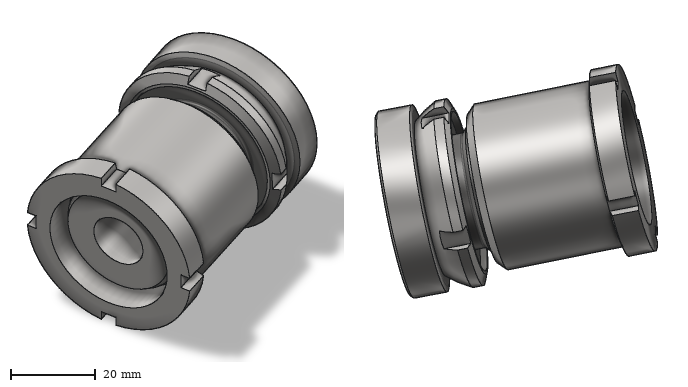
import cadquery as cq
import math


outer_radius = 22.5
barrel_radius = 20.0
thread_radius = 15.0
bore_radius = 6.75
rim_slope = math.tan(math.radians(15))
rim_chamfer = (outer_radius - barrel_radius) * rim_slope

flange_length = 7.0
housing_length = 37.1
barrel_chamfer = 2.0
recess_radius = 16.2
recess_depth = 9.0
housing_slot_width = 4.0
housing_slot_floor = barrel_radius

spindle_start = 4.5
thread_chamfer = 1.05
lead_in_length = 1.8
neck_radius = 13.8
thread_end = 39.1
neck_fillet = 0.65
head_start = 40.55
head_chamfer = 1.05
rim_end = 44.0
head_recess_radius = 19.25
head_recess_depth = 1.65
spindle_slot_width = 4.95
spindle_slot_floor = 20.5
spindle_turn = -1.3

sphere_radius = 24.95
sphere_centre = rim_end - math.sqrt(sphere_radius**2 - outer_radius**2)

cap_start = 49.7
cap_end = 58.6
cap_bore_radius = 7.65
cap_front_chamfer_width = 1.35
cap_front_chamfer = cap_front_chamfer_width * rim_slope
cap_back_chamfer = 0.6
cap_tilt = 0.7

slot_angles = [0, 90, 180, 270]


def dome_y(radius):
    """Y of the spherical seat at a distance from the axis."""
    return sphere_centre + math.sqrt(sphere_radius**2 - radius**2)


def turn(profile):
    """Revolve an XY profile around the Y axis."""
    return profile.close().revolve(360, (0, 0, 0), (0, 1, 0))


def cut_slots(body, width, floor, start, end):
    """Cut four rim slots from the floor radius outwards."""
    depth = outer_radius
    for angle in slot_angles:
        slot = cq.Workplane("XY").box(width, end - start, depth, centered=(True, False, False))
        slot = slot.translate((0, start, floor)).rotate((0, 0, 0), (0, 1, 0), angle)
        body = body.cut(slot)
    return body


def make_housing():
    profile = (
        cq.Workplane("XY")
        .moveTo(recess_radius, 0)
        .lineTo(outer_radius, 0)
        .lineTo(outer_radius, flange_length - rim_chamfer)
        .lineTo(barrel_radius, flange_length)
        .lineTo(barrel_radius, housing_length - barrel_chamfer)
        .lineTo(barrel_radius - barrel_chamfer, housing_length)
        .lineTo(thread_radius, housing_length)
        .lineTo(thread_radius, recess_depth)
        .lineTo(recess_radius, recess_depth)
    )
    return cut_slots(turn(profile), housing_slot_width, housing_slot_floor, 0, flange_length)


def make_spindle():
    chamfered_radius = thread_radius - thread_chamfer
    recess_floor = head_start + head_recess_depth

    half_turn = math.radians(22.5)
    full_turn = 2 * half_turn
    fillet_top = neck_radius + neck_fillet * (1 - math.cos(full_turn))
    fillet_low_y = thread_end - (fillet_top - chamfered_radius)
    fillet_high_y = fillet_low_y + neck_fillet * math.sin(full_turn)
    fillet_middle = (
        neck_radius + neck_fillet * (1 - math.cos(half_turn)),
        fillet_high_y - neck_fillet * math.sin(half_turn),
    )
    quarter_offset = neck_fillet * (1 - math.cos(full_turn))
    head_fillet_middle = (neck_radius + quarter_offset, recess_floor - quarter_offset)

    dome_middle = (bore_radius + outer_radius) / 2
    profile = (
        cq.Workplane("XY")
        .moveTo(bore_radius, spindle_start)
        .lineTo(chamfered_radius, spindle_start)
        .lineTo(thread_radius, spindle_start + lead_in_length)
        .lineTo(thread_radius, thread_end - thread_chamfer)
        .lineTo(fillet_top, fillet_low_y)
        .threePointArc(fillet_middle, (neck_radius, fillet_high_y))
        .lineTo(neck_radius, recess_floor - neck_fillet)
        .threePointArc(head_fillet_middle, (neck_radius + neck_fillet, recess_floor))
        .lineTo(head_recess_radius, recess_floor)
        .lineTo(head_recess_radius, head_start)
        .lineTo(barrel_radius, head_start)
        .lineTo(outer_radius, head_start + head_chamfer)
        .lineTo(outer_radius, rim_end)
        .threePointArc((dome_middle, dome_y(dome_middle)), (bore_radius, dome_y(bore_radius)))
    )
    spindle = cut_slots(turn(profile), spindle_slot_width, spindle_slot_floor, head_start, cap_start)
    return spindle.rotate((0, 0, 0), (0, 1, 0), spindle_turn)


def make_cap():
    seat_radius = math.sqrt(sphere_radius**2 - (cap_start - sphere_centre)**2)
    seat_middle = (cap_bore_radius + seat_radius) / 2
    face_radius = outer_radius - cap_front_chamfer_width
    profile = (
        cq.Workplane("XY")
        .moveTo(seat_radius, cap_start)
        .lineTo(face_radius, cap_start)
        .lineTo(outer_radius, cap_start + cap_front_chamfer)
        .lineTo(outer_radius, cap_end - cap_back_chamfer)
        .lineTo(outer_radius - cap_back_chamfer, cap_end)
        .lineTo(cap_bore_radius, cap_end)
        .lineTo(cap_bore_radius, dome_y(cap_bore_radius))
        .threePointArc((seat_middle, dome_y(seat_middle)), (seat_radius, cap_start))
    )
    return turn(profile).rotate((0, sphere_centre, 0), (0, sphere_centre, 1), cap_tilt)


housing = make_housing()
spindle = make_spindle()
cap = make_cap()

result = cq.Compound.makeCompound([housing.val(), spindle.val(), cap.val()])